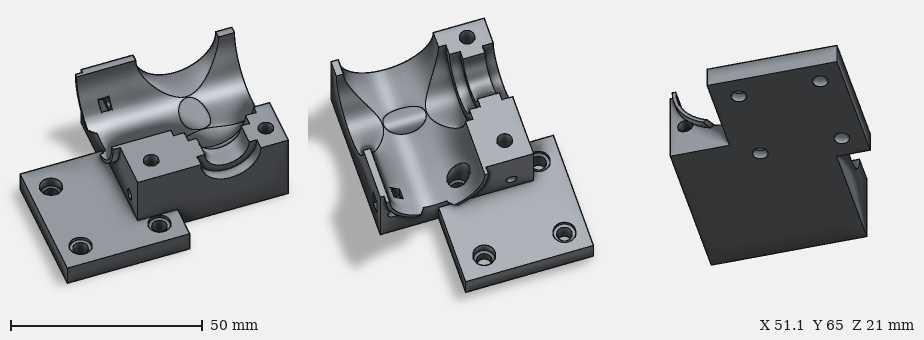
import cadquery as cq
import math

length = 65.0
block_side = 42.0
block_height = 21.0
block_front = length - block_side

plate_left = 16.0
plate_width = 35.05
plate_depth = 34.1
plate_thickness = 6.0
screw_x = 23.0
screw_y = 6.0
screw_pitch = 22.0
screw_diameter = 4.0
screw_head_diameter = 6.0
left_head_depth = 3.0
right_head_depth = 1.0

trough_x = 15.0
trough_radius = 13.0
lip_radius = 14.0
lip_length = 2.0

lip_gap_front_peak = 11.5
lip_gap_back_peak = 10.15
lip_gap_slope = 1.7

cross_y = 49.0
cross_steps = [(30.0, 11.5), (33.0, 8.5), (39.0, 6.2), (block_side, 8.3)]

rib_radius = 6.0
rib_top = 9.35

pin_diameter = 4.0
pin_depth = 10.0
pin_x = 36.0
pin_edge = 4.0
pin_pitch = 32.0

front_hole_z = 10.0
front_hole_depth = 7.0
left_hole_x = 4.0
left_hole_diameter = 4.0
right_hole_diameter = 3.0
slot_width = 3.0
slot_height = 6.0
slot_depth = 7.2
slot_front_offset = 3.0


def box(x, y, z, width, depth, height):
    """Box given by its lowest corner and its size."""
    return cq.Workplane("XY").box(width, depth, height, centered=False).translate((x, y, z))


def cylinder_x(x, y, z, radius, depth):
    """Cylinder that starts at the given point and runs toward +X."""
    return cq.Workplane(cq.Solid.makeCylinder(radius, depth, cq.Vector(x, y, z), cq.Vector(1, 0, 0)))


def cylinder_y(x, y, z, radius, depth):
    """Cylinder that starts at the given point and runs toward +Y."""
    return cq.Workplane(cq.Solid.makeCylinder(radius, depth, cq.Vector(x, y, z), cq.Vector(0, 1, 0)))


def cylinder_down(x, y, z, radius, depth):
    """Cylinder that starts at the given point and runs toward -Z."""
    return cq.Workplane(cq.Solid.makeCylinder(radius, depth, cq.Vector(x, y, z), cq.Vector(0, 0, -1)))


def gap_outline(y, peak):
    """Triangle across the lip at the given Y, with its peak at the given height."""
    half_width = (peak - plate_thickness) * lip_gap_slope
    return cq.Wire.makePolygon(
        [
            cq.Vector(trough_x - half_width, y, plate_thickness),
            cq.Vector(trough_x + half_width, y, plate_thickness),
            cq.Vector(trough_x, y, peak),
        ],
        close=True,
    )


def make_lip():
    """Half ring at the front of the trough, with a roof-shaped gap at its lowest point."""
    front = block_front - lip_length
    ring = cylinder_y(trough_x, front, block_height, lip_radius, lip_length)
    lower_half = box(0, front, 0, block_side, lip_length, block_height)
    outlines = [gap_outline(front, lip_gap_front_peak), gap_outline(block_front, lip_gap_back_peak)]
    gap = cq.Workplane(cq.Solid.makeLoft(outlines, True))
    return ring.intersect(lower_half).cut(gap)


def make_rib():
    """Part of a lying cylinder that rises out of the trough floor."""
    chord = 2 * math.sqrt(trough_radius**2 - (block_height - rib_top) ** 2)
    bar = cylinder_x(trough_x - chord / 2, cross_y, rib_top - rib_radius, rib_radius, chord)
    above_base = box(0, block_front, plate_thickness, block_side, block_side, block_height)
    return bar.intersect(above_base)


body = box(0, block_front, 0, block_side, block_side, block_height)
body = body.union(make_lip())
body = body.cut(cylinder_y(trough_x, 0, block_height, trough_radius, length))

step_start = 0
for step_end, radius in cross_steps:
    body = body.cut(cylinder_x(step_start, cross_y, block_height, radius, step_end - step_start))
    step_start = step_end

body = body.union(make_rib())
body = body.union(box(plate_left, 0, 0, plate_width, plate_depth, plate_thickness))

for column, head_depth in enumerate([left_head_depth, right_head_depth]):
    for row in range(2):
        x = screw_x + column * screw_pitch
        y = screw_y + row * screw_pitch
        body = body.cut(cylinder_down(x, y, plate_thickness, screw_diameter / 2, plate_thickness))
        head_height = block_height - plate_thickness + head_depth
        body = body.cut(cylinder_down(x, y, block_height, screw_head_diameter / 2, head_height))

for row in range(2):
    y = length - pin_edge - row * pin_pitch
    body = body.cut(cylinder_down(pin_x, y, block_height, pin_diameter / 2, pin_depth))

for x, diameter in [(left_hole_x, left_hole_diameter), (pin_x, right_hole_diameter)]:
    body = body.cut(cylinder_y(x, block_front, front_hole_z, diameter / 2, front_hole_depth))

slot_bottom = front_hole_z - slot_height / 2
slot_front = block_front + slot_front_offset
body = body.cut(box(0, slot_front, slot_bottom, slot_depth, slot_width, slot_height))

result = body